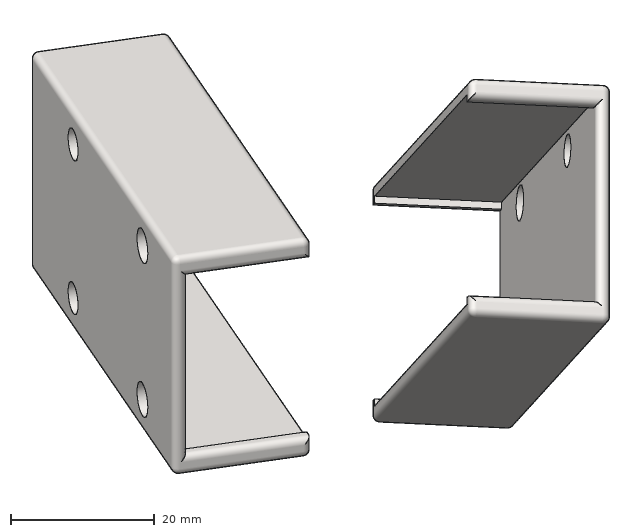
import cadquery as cq

length = 67.0
depth = 20.0
height = 34.0

rim_flange_thickness = 3.0
rim_plate_thickness = 2.0
rim_width = 2.0
rounding_radius = rim_plate_thickness / 2 - 0.01

flange_recess = 1.0

hole_columns = [(-13.55, 4.6), (18.95, 5.0)]
hole_row_spacing = 24.0

plate_inner_y = -depth / 2 + rim_plate_thickness
opening_height = height - 2 * rim_flange_thickness


def channel_cutter(cutter_length, cutter_height):
    """Block from the inner face of the back plate out past the open side."""
    cutter_depth = depth
    return (
        cq.Workplane("XY")
        .box(cutter_length, cutter_depth, cutter_height)
        .translate((0, plate_inner_y + cutter_depth / 2, 0))
    )


def rounded_channel():
    """U-channel with every edge rounded except the lengthwise edges of the opening."""
    block = cq.Workplane("XY").box(length, depth, height)
    channel = block.cut(channel_cutter(2 * length, opening_height))
    end_edges = channel.faces("<X or >X").edges()
    outer_long_edges = channel.faces("<Z or >Z").edges("|X")
    return end_edges.add(outer_long_edges).fillet(rounding_radius)


def mounting_holes():
    """Cylinders crossing the back plate."""
    holes = cq.Workplane("XZ", origin=(0, plate_inner_y + rim_plate_thickness, 0))
    for x, diameter in hole_columns:
        row_points = [(x, side * hole_row_spacing / 2) for side in (-1, 1)]
        holes = holes.pushPoints(row_points).circle(diameter / 2).extrude(3 * rim_plate_thickness)
    return holes


recess = channel_cutter(length - 2 * rim_width, opening_height + 2 * flange_recess)
result = rounded_channel().cut(recess).cut(mounting_holes())